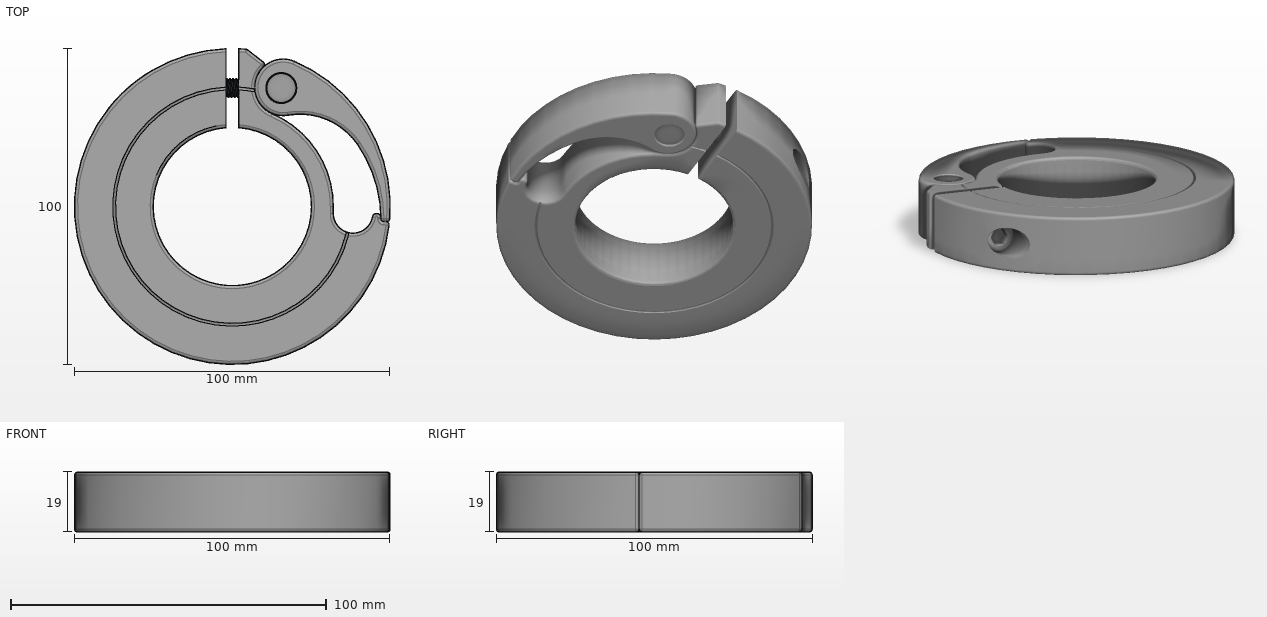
import cadquery as cq
import math

origin = (0.0, 0.0)

outer_radius = 50.0
bore_radius = 25.0
height = 19.0
edge_round = 1.0
slit_width = 4.0
groove_radius = 37.4
groove_round = 0.45

web_radius = 32.0
slot_end_radius = 6.2
slot_end_y = -2.2
tip_round = 1.2
notch_wall_x = 47.0
notch_floor_y = -4.8
corner_round = 1.0
relief_x = 4.6
relief_angle = 38.0

boss_radius = 9.0
boss_x = 16.1
boss_y = math.sqrt((outer_radius - boss_radius) ** 2 - boss_x ** 2)
boss_center = (boss_x, boss_y)
finger_radius = 22.0
arm_radius = 42.0
arm_center = (5.0, -4.2)
lever_end_round = 1.0

pin_x = 15.5
pin_y = 37.5
pin_radius = 4.6
pin_hole_chamfer = 0.3
pin_recess = 0.6

thread_radius = 3.0
thread_depth = 0.6
thread_pitch = 1.0
thread_length = 24.0
thread_half_width = 0.42
thread_overcut = 0.02
head_radius = 4.9
head_length = 6.0
head_chamfer = 0.3
head_seat_x = -19.0
screw_tip_x = pin_x + thread_radius
hex_flats = 5.0
hex_depth = 3.0
hex_countersink = 2.9


def unit(vector):
    length = math.hypot(*vector)
    return (vector[0] / length, vector[1] / length)


def along(start, direction, distance):
    return (start[0] + direction[0] * distance, start[1] + direction[1] * distance)


def on_circle(center, radius, degrees):
    angle = math.radians(degrees)
    return along(center, (math.cos(angle), math.sin(angle)), radius)


def angle_from(center, point):
    return math.degrees(math.atan2(point[1] - center[1], point[0] - center[0]))


def circle_crossing(center_a, radius_a, center_b, radius_b, side):
    """Crossing of two circles; side 1 is left and -1 right of the line from a to b."""
    gap = math.dist(center_a, center_b)
    direction = unit((center_b[0] - center_a[0], center_b[1] - center_a[1]))
    reach = (radius_a ** 2 - radius_b ** 2 + gap ** 2) / (2 * gap)
    offset = side * math.sqrt(radius_a ** 2 - reach ** 2)
    return along(along(center_a, direction, reach), (-direction[1], direction[0]), offset)


def line_meets_circle(start, degrees, center, radius):
    """First point where a line leaving start at the given angle meets a circle."""
    direction = on_circle(origin, 1, degrees)
    to_center = (center[0] - start[0], center[1] - start[1])
    nearest = to_center[0] * direction[0] + to_center[1] * direction[1]
    offset = to_center[0] * direction[1] - to_center[1] * direction[0]
    return along(start, direction, nearest - math.sqrt(radius ** 2 - offset ** 2))


def mid_arc(center, radius, start, end):
    """Middle of the short arc from start to end."""
    middle = ((start[0] + end[0]) / 2, (start[1] + end[1]) / 2)
    return along(center, unit((middle[0] - center[0], middle[1] - center[1])), radius)


def x_cylinder(radius, start_x, end_x):
    """Cylinder on the screw's axis."""
    disc = cq.Workplane("YZ", origin=(start_x, pin_y, 0)).circle(radius)
    return disc.extrude(end_x - start_x)


def upright(x, y):
    """Selects the upright edge at x, y."""
    return cq.selectors.NearestToPointSelector((x, y, 0))


def round_rims(body):
    return body.faces("|Z").edges().fillet(edge_round)


def make_collar_blank():
    """Ring with the lever opening taken out of its +X, +Y quarter."""
    relief_start = (relief_x, math.sqrt(outer_radius ** 2 - relief_x ** 2))
    seat_start = line_meets_circle(relief_start, -relief_angle, boss_center, boss_radius)
    seat_end = circle_crossing(origin, web_radius, boss_center, boss_radius, 1)
    seat_mid = mid_arc(boss_center, boss_radius, seat_start, seat_end)
    web_end = (web_radius, 0)
    slot_x = web_radius + slot_end_radius
    tip_x = slot_x + slot_end_radius
    floor_end = (math.sqrt(outer_radius ** 2 - notch_floor_y ** 2), notch_floor_y)

    blank = (
        cq.Workplane("XY")
        .workplane(offset=-height / 2)
        .moveTo(*relief_start)
        .lineTo(*seat_start)
        .threePointArc(seat_mid, seat_end)
        .threePointArc(mid_arc(origin, web_radius, seat_end, web_end), web_end)
        .lineTo(web_radius, slot_end_y)
        .threePointArc((slot_x, slot_end_y - slot_end_radius), (tip_x, slot_end_y))
        .lineTo(notch_wall_x, slot_end_y)
        .lineTo(notch_wall_x, notch_floor_y)
        .lineTo(*floor_end)
        .threePointArc((-outer_radius, 0), relief_start)
        .close()
        .extrude(height)
    )

    for corner in ((tip_x, slot_end_y), (notch_wall_x, slot_end_y)):
        blank = blank.edges(upright(*corner)).fillet(tip_round)
    for corner in (relief_start, seat_start, (notch_wall_x, notch_floor_y), floor_end):
        blank = blank.edges(upright(*corner)).fillet(corner_round)
    bore = cq.Workplane("XY").circle(bore_radius).extrude(height, both=True)
    return round_rims(blank.cut(bore))


def make_face_grooves():
    """Half-round rings cut into the top and bottom faces."""
    section = cq.Workplane("XZ").pushPoints([(groove_radius, height / 2), (groove_radius, -height / 2)])
    return section.circle(groove_round).revolve(360, (0, 0, 0), (0, 1, 0))


def make_screw_space():
    """Room for the screw: counterbore for the head and a clearance hole."""
    counterbore = x_cylinder(head_radius, -outer_radius, head_seat_x)
    return counterbore.union(x_cylinder(thread_radius, head_seat_x, screw_tip_x))


def make_collar():
    """Split clamping ring."""
    slit_length = 2 * outer_radius
    slit = cq.Workplane("XY").center(0, slit_length / 2).rect(slit_width, slit_length)
    slit = slit.extrude(height, both=True)
    return make_collar_blank().cut(slit).cut(make_face_grooves()).cut(make_screw_space())


def make_lever():
    """Clamp lever: an eccentric boss with a tapering arm along the outer circle."""
    boss_top = along(origin, unit(boss_center), outer_radius)
    end_y = notch_floor_y
    end_outer = (math.sqrt(outer_radius ** 2 - end_y ** 2), end_y)
    end_inner = (arm_center[0] + math.sqrt(arm_radius ** 2 - (end_y - arm_center[1]) ** 2), end_y)
    finger_center = circle_crossing(
        arm_center, arm_radius - finger_radius, boss_center, boss_radius + finger_radius, -1
    )
    arm_start = on_circle(arm_center, arm_radius, angle_from(arm_center, finger_center))
    boss_end = on_circle(boss_center, boss_radius, angle_from(boss_center, finger_center))
    boss_left = on_circle(boss_center, boss_radius, 180)

    lever = (
        cq.Workplane("XY")
        .workplane(offset=-height / 2)
        .moveTo(*boss_top)
        .threePointArc(mid_arc(origin, outer_radius, boss_top, end_outer), end_outer)
        .lineTo(*end_inner)
        .threePointArc(mid_arc(arm_center, arm_radius, end_inner, arm_start), arm_start)
        .threePointArc(mid_arc(finger_center, finger_radius, arm_start, boss_end), boss_end)
        .threePointArc(boss_left, boss_top)
        .close()
        .extrude(height)
    )
    for corner in (end_outer, end_inner):
        lever = lever.edges(upright(*corner)).fillet(lever_end_round)
    lever = round_rims(lever)
    pin_hole = cq.Workplane("XY").center(pin_x, pin_y).circle(pin_radius).extrude(height, both=True)
    lever = lever.cut(pin_hole)
    for face in (">Z", "<Z"):
        lever = lever.faces(face).edges(cq.selectors.RadiusNthSelector(0)).chamfer(pin_hole_chamfer)
    return lever.cut(make_screw_space())


def make_pin():
    """Pivot pin, cross-bored for the screw."""
    half_length = height / 2 - pin_recess
    pin = cq.Workplane("XY").center(pin_x, pin_y).circle(pin_radius).extrude(half_length, both=True)
    return pin.cut(make_screw_space())


def make_thread_groove():
    """Helical V groove that ends one turn before the screw's tip."""
    path = cq.Wire.makeHelix(thread_pitch, thread_length - thread_pitch, thread_radius)
    corners = [
        (thread_overcut, -thread_half_width),
        (thread_overcut, thread_half_width),
        (-thread_depth, 0),
    ]
    section = cq.Workplane("XZ", origin=(thread_radius, 0, 0)).polyline(corners).close()
    groove = section.sweep(cq.Workplane(path), isFrenet=True)
    groove = groove.rotate((0, 0, 0), (0, 1, 0), 90)
    return groove.translate((screw_tip_x - thread_length, pin_y, 0))


def make_shank():
    """Threaded shank from under the head to the tip."""
    return x_cylinder(thread_radius, head_seat_x, screw_tip_x).cut(make_thread_groove())


def make_screw():
    """Socket head screw."""
    head_end_x = head_seat_x - head_length
    head = x_cylinder(head_radius, head_end_x, head_seat_x)
    head = head.faces("<X").edges().chamfer(head_chamfer)
    socket = cq.Workplane("YZ", origin=(head_end_x, pin_y, 0))
    hexagon = socket.polygon(6, hex_flats / math.cos(math.pi / 6)).extrude(hex_depth)
    countersink = socket.circle(hex_countersink).extrude(hex_countersink - hex_flats / 2, taper=45)
    return make_shank().union(head).cut(hexagon).cut(countersink)


collar = make_collar()
lever = make_lever()
pin = make_pin()
screw = make_screw()
bodies = (collar, lever, pin, screw)
result = cq.Compound.makeCompound([body.solids().val() for body in bodies])